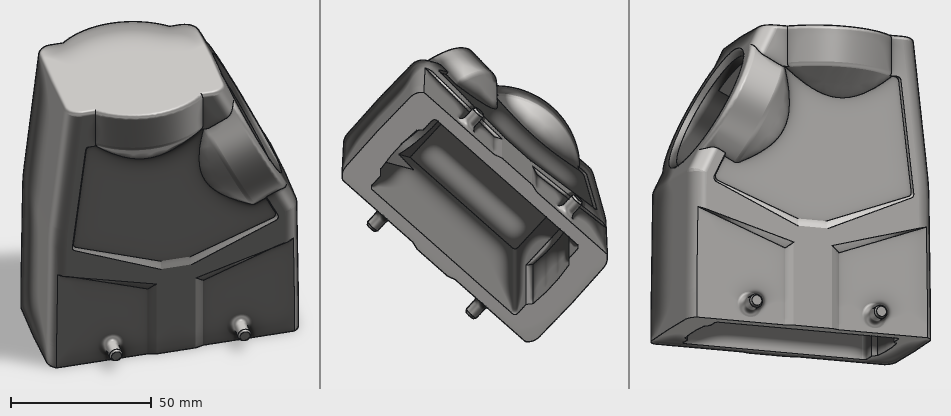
import cadquery as cq
import math

height = 110.2
half_width = 22.5
half_length = 46.7
mould_draft = 1.1
base_band_top = 10.0
shoulder_y = 46.1
entry_slope_angle = 26.0
rear_break_z = 56.2
rear_top_y = -40.0
corner_radius = 5.5
top_radius = 1.8
shoulder_radius = 3.3
band_radius = 132.2
break_radius = 88.2

flange_diameter = 60.0
flange_cone_angle = 40.0
flange_cone_depth = 13.2
flange_rim_radius = 2.4
top_flange_y = -10.0
top_flange_depth = 15.2
top_flange_half_chord = 22.0
entry_y, entry_z = 32.4, 82.5
entry_flange_depth = 14.2

bore_diameter = 45.6
bore_mouth_diameter = 49.6
bore_mouth_depth = 2.4
bore_depth = 13.2

cavity_half_width = 17.1
cavity_half_length = 34.9
wall = 5.3
cavity_corner_radius = 1.3
bulge_half_width = 11.4
bulge_shoulder_half_width = 9.5
bulge_shoulder = 1.7
bulge_depth = 2.3
bulge_top = 62.8

recess_depth = 0.9
floor_x = half_width - recess_depth
recess_corner_radius = 1.7

pin_diameter = 4.8
pin_tip_x = 28.8
pin_y, pin_z = 23.7, 6.3
pin_tip_bevel_length = 0.9
pin_tip_bevel = 0.5
pin_root_radius = 2.2

overlap = 2.2
slope = math.tan(math.radians(entry_slope_angle))
flange_radius = flange_diameter / 2


def slope_y(z):
    """Y of the sloped entry face at height z."""
    return entry_y + (entry_z - z) * slope


def both_sides(shape):
    return shape.union(shape.mirror("YZ"))


def make_drafted_half(width):
    """Silhouette drafted from X = 0 to X = width, with its long side edges still sharp."""
    shoulder_z = entry_z - (shoulder_y - entry_y) / slope
    outline = [
        (half_length, -overlap),
        (half_length, base_band_top),
        (shoulder_y, shoulder_z),
        (slope_y(height), height),
        (rear_top_y, height),
        (-shoulder_y, rear_break_z),
        (-half_length, base_band_top),
        (-half_length, -overlap),
    ]
    rounded_corners = [
        (half_length, base_band_top, band_radius),
        (shoulder_y, shoulder_z, shoulder_radius),
        (-shoulder_y, rear_break_z, break_radius),
        (-half_length, base_band_top, band_radius),
    ]
    silhouette = cq.Sketch().polygon(outline + outline[:1])
    for y, z, radius in rounded_corners:
        corner = cq.selectors.NearestToPointSelector((y, z, 0))
        silhouette = silhouette.vertices(corner).fillet(radius).reset()
    return cq.Workplane("YZ").placeSketch(silhouette).extrude(width, taper=mould_draft)


def make_body():
    half = make_drafted_half(half_width)
    half = half.faces(">X").edges("not(<Z or >Z)").fillet(corner_radius)
    half = half.faces(">Z").edges("not <X").fillet(top_radius)
    below_base = cq.Workplane("XY", origin=(0, 0, -height / 2)).box(height, height, height)
    return both_sides(half).cut(below_base)


def make_flange_blank(depth):
    """Flange about Z with its face just above Z = 0 and its body and rear cone below."""
    cone_radius = flange_radius - flange_cone_depth * math.tan(math.radians(flange_cone_angle))
    profile = [
        (0, overlap),
        (flange_radius, overlap),
        (flange_radius, -depth),
        (cone_radius, -depth - flange_cone_depth),
        (0, -depth - flange_cone_depth),
    ]
    blank = cq.Workplane("XZ").polyline(profile).close().revolve(360, (0, 0), (0, 1))
    cone_edge = cq.selectors.NearestToPointSelector((0, 0, -depth))
    return blank.edges("%CIRCLE").edges(cone_edge).fillet(flange_rim_radius)


def face_flange(blank, facing):
    """Cut a placed flange flush with the drafted body faces and round the edge of its face."""
    half = blank.intersect(make_drafted_half(flange_radius + overlap))
    face = half.faces(cq.selectors.DirectionMinMaxSelector(cq.Vector(*facing)))
    return both_sides(face.edges("not %LINE").fillet(top_radius))


def make_top_flange():
    trim = cq.Workplane("XY").box(2 * flange_diameter, 2 * top_flange_half_chord, height)
    blank = make_flange_blank(top_flange_depth).intersect(trim)
    return face_flange(blank.translate((0, top_flange_y, height)), (0, 0, 1))


def onto_entry(shape):
    """Move a shape built about Z, with its face on Z = 0, onto the sloped entry face."""
    tilt = entry_slope_angle - 90
    return shape.rotate((0, 0, 0), (1, 0, 0), tilt).translate((0, entry_y, entry_z))


def make_entry_flange():
    return face_flange(onto_entry(make_flange_blank(entry_flange_depth)), (0, 1, slope))


def make_bore():
    bore_radius = bore_diameter / 2
    mouth_radius = bore_mouth_diameter / 2
    profile = [
        (0, overlap),
        (mouth_radius, overlap),
        (mouth_radius, 0),
        (bore_radius, -bore_mouth_depth),
        (bore_radius, -bore_depth),
        (0, -bore_depth),
    ]
    bore = cq.Workplane("XZ").polyline(profile).close().revolve(360, (0, 0), (0, 1))
    return onto_entry(bore)


def make_cavity():
    top = height - wall
    wall_along_y = wall / math.cos(math.radians(entry_slope_angle))
    slope_start_z = entry_z - (cavity_half_length + wall_along_y - entry_y) / slope
    profile = [
        (-cavity_half_length, 0),
        (cavity_half_length, 0),
        (cavity_half_length, slope_start_z),
        (slope_y(top) - wall_along_y, top),
        (-cavity_half_length, top),
    ]
    cavity = cq.Workplane("YZ").polyline(profile).close().extrude(cavity_half_width, both=True)
    cavity = cavity.edges("|Z").fillet(cavity_corner_radius)
    bulge = (
        cq.Workplane("XY")
        .moveTo(-bulge_half_width, 0)
        .lineTo(-bulge_half_width, cavity_half_length)
        .lineTo(-bulge_shoulder_half_width, cavity_half_length + bulge_shoulder)
        .threePointArc((0, cavity_half_length + bulge_depth),
                       (bulge_shoulder_half_width, cavity_half_length + bulge_shoulder))
        .lineTo(bulge_half_width, cavity_half_length)
        .lineTo(bulge_half_width, 0)
        .close()
        .extrude(bulge_top)
    )
    return cavity.union(bulge).union(bulge.mirror("XZ"))


def ramped_recess(rim, floor, rounded=()):
    """Recess between a rim and a floor outline in Y and Z; rounded lists the corners to round."""
    outlines = []
    for points in (floor, rim):
        outline = cq.Sketch().polygon(points + points[:1])
        for index in rounded:
            y, z = points[index]
            corner = cq.selectors.NearestToPointSelector((y, z, 0))
            outline = outline.vertices(corner).fillet(recess_corner_radius).reset()
        outlines.append(outline)
    floor_outline, rim_outline = outlines
    return (
        cq.Workplane("YZ")
        .placeSketch(
            floor_outline.moved(cq.Location(cq.Vector(0, 0, floor_x))),
            rim_outline.moved(cq.Location(cq.Vector(0, 0, half_width))))
        .loft(ruled=True)
    )


def make_upper_recess():
    """Label field with wide ramps along its lower edges and three rounded outer corners."""
    top = 94.5
    rim_half_flat, rim_bottom = 5.6, 36.5
    floor_half_flat, floor_bottom = 5.3, 39.3
    rim = [
        (16.8, top),
        (38.2, 50.7),
        (rim_half_flat, rim_bottom),
        (-rim_half_flat, rim_bottom),
        (-38.5, 50.9),
        (-33.3, top),
    ]
    floor = [
        (16.3, top),
        (37.5, 51.4),
        (floor_half_flat, floor_bottom),
        (-floor_half_flat, floor_bottom),
        (-37.8, 51.6),
        (-32.7, top),
    ]
    return ramped_recess(rim, floor, rounded=(1, 4, 5))


def make_lever_recess():
    """Lower field for the locking lever, open to the base and to the end face."""
    end_y = half_length + overlap
    edge_y, edge_z = 43.3, 40.4
    rim_y, rim_z = 7.3, 30.4
    floor_y, floor_z = 10.2, 28.2
    rim = [(edge_y, edge_z), (rim_y, rim_z), (rim_y, -overlap), (edge_y, -overlap)]
    floor = [(edge_y, edge_z), (floor_y, floor_z), (floor_y, -overlap), (edge_y, -overlap)]
    field = ramped_recess(rim, floor)
    beside = (
        cq.Workplane("XY", origin=(floor_x, edge_y, -overlap))
        .box(recess_depth, end_y - edge_y, edge_z + overlap, centered=False)
    )
    return field.union(beside)


def make_pin():
    """Pin along +X with a flared root and a bevelled tip."""
    radius = pin_diameter / 2
    flare = pin_root_radius * (1 - math.sqrt(0.5))
    return (
        cq.Workplane("XY")
        .moveTo(floor_x - overlap, 0)
        .lineTo(floor_x - overlap, radius + pin_root_radius)
        .lineTo(floor_x, radius + pin_root_radius)
        .threePointArc((floor_x + flare, radius + flare), (floor_x + pin_root_radius, radius))
        .lineTo(pin_tip_x - pin_tip_bevel_length, radius)
        .lineTo(pin_tip_x, radius - pin_tip_bevel)
        .lineTo(pin_tip_x, 0)
        .close()
        .revolve(360, (0, 0), (1, 0))
    )


body = make_body()
lever_recess = make_lever_recess()
for recess in (make_upper_recess(), lever_recess, lever_recess.mirror("XZ")):
    body = body.cut(both_sides(recess))
body = body.union(make_top_flange()).union(make_entry_flange())
body = body.cut(make_cavity()).cut(make_bore())
for y in (-pin_y, pin_y):
    pin = make_pin().translate((0, y, pin_z))
    body = body.union(pin).union(pin.mirror("YZ"))

result = body